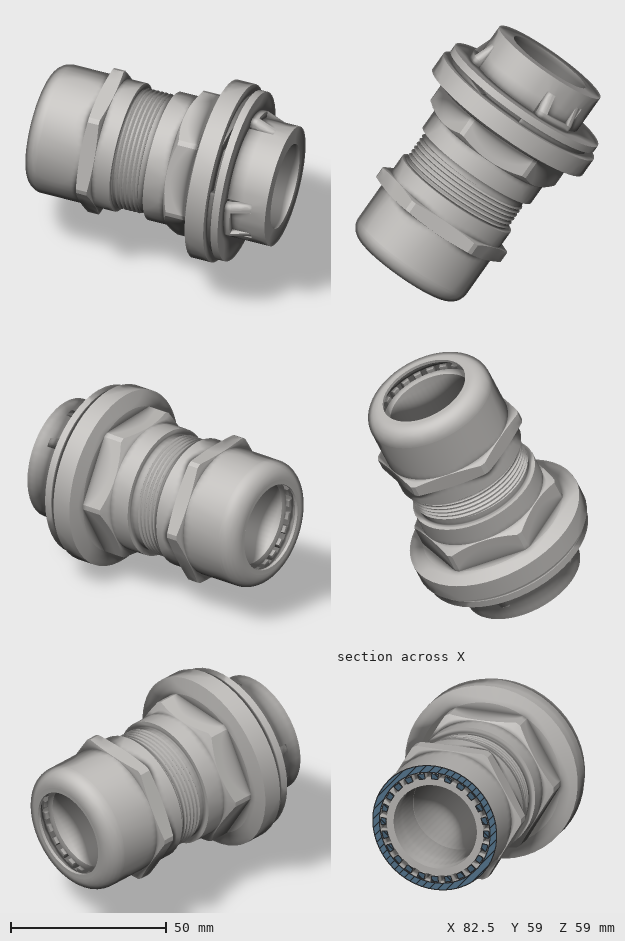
import cadquery as cq
import math


overall_length = 82.5
barrel_radius = 42.6 / 2
hex_across_flats = 43.0
hex_corner_radius = 48.7 / 2
thread_root_radius = 38.4 / 2
thread_crest_radius = 39.75 / 2
REACH = 2 * overall_length

cap_length = 30.1
cap_nose_round = 5.3
cap_mouth_radius = 28.8 / 2
cap_lip_length = 1.0
cap_hex_start = 19.1
cap_hex_end = 24.2
cap_hex_chamfer = 0.7
cap_bore_radius = thread_root_radius

cage_front = 4.95
cage_outer_radius = 38.2 / 2
cage_inner_radius = 33.15 / 2
cage_tip_radius = 36.1 / 2
finger_count = 24
finger_slot_width = 2.15
finger_slot_end = 16.5

seal_front = 6.1
seal_bore_radius = 28.45 / 2

body_front = cap_hex_end
body_bore_radius = 28.2 / 2
thread_end = 39.1
thread_pitch = 1.5
thread_ridge_width = 1.0
thread_ridge_sink = 0.1
thread_crest_bottom = 38.0
collar_start = 41.5
collar_round = 0.4
body_hex_start = 48.25
body_hex_chamfer = 2.1
flange_start = 57.0
flange_bevel = 1.65
flange_end = 65.0
flange_radius = 59.05 / 2
hub_end = 67.0
hub_radius = 44.4 / 2
tail_radius = thread_crest_radius

clip_count = 3
cam_radius = 52.1 / 2
cam_first_wall_angle = 30.0
cam_level_sweep = 62.0
cam_ramp_sweep = 23.0

ring_end = 69.4
ring_radius = 56.25 / 2
clip_top_radius = 44.2 / 2
clip_bridge_end = 71.35
clip_leg_end = 77.6
clip_half_width = 7.0
clip_window_half_width = 4.7
clip_edge_round = 1.8
clip_thickness = clip_top_radius - tail_radius
clip_leg_tip_radius = 19.8
channel_half_width = 7.7
channel_floor_radius = clip_leg_tip_radius - clip_thickness


def turned(profile):
    """Revolve a closed profile of X (axial) and Y (radial) around the X axis."""
    return profile.close().revolve(360, (0, 0, 0), (1, 0, 0))


def cylinder(start, end, radius):
    return cq.Workplane("YZ").workplane(offset=start).circle(radius).extrude(end - start)


def tube(start, end, outer_radius, inner_radius):
    return cylinder(start, end, outer_radius).cut(cylinder(start, end, inner_radius))


def box(x_range, y_range, z_range):
    size = [high - low for low, high in (x_range, y_range, z_range)]
    corner = (x_range[0], y_range[0], z_range[0])
    return cq.Workplane("XY").box(*size, centered=False).translate(corner)


def around_axis(shape, angle):
    return shape.rotate((0, 0, 0), (1, 0, 0), angle)


def hexagon(start, end, front_chamfer, rear_chamfer):
    """Hexagon with flats at +Z and -Z, its corners turned and its ends chamfered."""
    corner_diameter = hex_across_flats / math.cos(math.radians(30))
    prism = cq.Workplane("YZ").workplane(offset=start).polygon(6, corner_diameter).extrude(end - start)
    profile = cq.Workplane("XY").moveTo(start, 0).lineTo(start, barrel_radius)
    profile = profile.lineTo(start + front_chamfer, hex_corner_radius)
    profile = profile.lineTo(end - rear_chamfer, hex_corner_radius)
    if rear_chamfer > 0:
        profile = profile.lineTo(end, barrel_radius)
    return prism.intersect(turned(profile.lineTo(end, 0)))


def make_cap_nut():
    nose_radius = barrel_radius - cap_nose_round
    arc_offset = cap_nose_round * math.sqrt(0.5)
    cone_length = cap_bore_radius - cap_mouth_radius
    barrel = turned(
        cq.Workplane("XY")
        .moveTo(0, 0)
        .lineTo(0, nose_radius)
        .threePointArc(
            (cap_nose_round - arc_offset, nose_radius + arc_offset),
            (cap_nose_round, barrel_radius),
        )
        .lineTo(cap_length, barrel_radius)
        .lineTo(cap_length, 0)
    )
    cavity = turned(
        cq.Workplane("XY")
        .moveTo(0, 0)
        .lineTo(0, cap_mouth_radius)
        .lineTo(cap_lip_length, cap_mouth_radius)
        .lineTo(cap_lip_length + cone_length, cap_bore_radius)
        .lineTo(cap_length, cap_bore_radius)
        .lineTo(cap_length, 0)
    )
    grip = hexagon(cap_hex_start, cap_hex_end, cap_hex_chamfer, cap_hex_chamfer)
    return barrel.union(grip).cut(cavity)


def make_cage():
    """Sleeve whose front is slotted into clamping fingers with bevelled tips."""
    tip_bevel = cage_outer_radius - cage_tip_radius
    cage = turned(
        cq.Workplane("XY")
        .moveTo(cage_front, cage_inner_radius)
        .lineTo(cage_front, cage_tip_radius)
        .lineTo(cage_front + tip_bevel, cage_outer_radius)
        .lineTo(body_front, cage_outer_radius)
        .lineTo(body_front, cage_inner_radius)
    )
    half_slot = finger_slot_width / 2
    slot = box((cage_front, finger_slot_end), (0, REACH), (-half_slot, half_slot))
    pitch = 360 / finger_count
    for index in range(finger_count):
        cage = cage.cut(around_axis(slot, (index + 0.5) * pitch))
    return cage


def make_seal():
    return tube(seal_front, body_front, cage_inner_radius, seal_bore_radius)


def thread_ridge():
    """Right-handed V ridge between the cap nut and the plain neck."""
    turns_before = 7
    turns_after = 2
    helix_length = (turns_before + turns_after) * thread_pitch
    sunk_radius = thread_root_radius - thread_ridge_sink
    half_width = thread_ridge_width / 2
    path = cq.Wire.makeHelix(thread_pitch, helix_length, sunk_radius)
    ridge = (
        cq.Workplane("XZ")
        .moveTo(sunk_radius, -half_width)
        .lineTo(thread_crest_radius, 0)
        .lineTo(sunk_radius, half_width)
        .close()
        .sweep(cq.Workplane(path), isFrenet=True)
    )
    ridge = ridge.rotate((0, 0, 0), (0, 1, 0), 90)
    ridge = ridge.translate((thread_crest_bottom - turns_before * thread_pitch, 0, 0))
    return ridge.intersect(cylinder(cap_length, thread_end, barrel_radius))


def cam_lobe():
    """Sector on the rear of the flange: a radial wall, a level crest and a falling ramp."""
    crest_height = hub_end - flange_end

    def sector(start_angle, sweep):
        points = [start_angle, start_angle + sweep / 2, start_angle + sweep]
        on_rim = [
            (cam_radius * math.cos(math.radians(a)), cam_radius * math.sin(math.radians(a)))
            for a in points
        ]
        plane = cq.Workplane("YZ").workplane(offset=flange_end)
        return plane.lineTo(*on_rim[0]).threePointArc(*on_rim[1:]).close().extrude(crest_height)

    ramp_start = cam_first_wall_angle + cam_level_sweep
    crest = sector(cam_first_wall_angle, cam_level_sweep)
    ramp = sector(ramp_start, cam_ramp_sweep)
    ramp_run = cam_radius * math.sin(math.radians(cam_ramp_sweep))
    cutter = (
        cq.Workplane("XY")
        .moveTo(hub_end, 0)
        .lineTo(flange_end, -ramp_run)
        .lineTo(hub_end, -ramp_run)
        .close()
        .extrude(cam_radius)
    )
    cutter = around_axis(cutter, ramp_start - 90)
    return crest.union(ramp.cut(cutter))


def clip_angles():
    """Clip positions, measured from -Y."""
    return [index * 360 / clip_count for index in range(clip_count)]


def leg_channels():
    """Pair of channels, on the -Y side, that take the legs of one snap clip."""
    length = (ring_end, clip_leg_end)
    outward = (-REACH, 0)
    right = box(length, outward, (clip_window_half_width, channel_half_width))
    left = right.mirror("XY")
    return right.union(left).cut(cylinder(*length, channel_floor_radius))


def make_body():
    arc_offset = collar_round * (1 - math.sqrt(0.5))
    body = turned(
        cq.Workplane("XY")
        .moveTo(body_front, 0)
        .lineTo(body_front, thread_root_radius)
        .lineTo(collar_start - collar_round, thread_root_radius)
        .threePointArc(
            (collar_start - arc_offset, thread_root_radius + arc_offset),
            (collar_start, thread_root_radius + collar_round),
        )
        .lineTo(collar_start, barrel_radius)
        .lineTo(flange_start, barrel_radius)
        .lineTo(flange_start, hex_corner_radius)
        .lineTo(flange_start + flange_bevel, flange_radius)
        .lineTo(flange_end, flange_radius)
        .lineTo(flange_end, hub_radius)
        .lineTo(hub_end, hub_radius)
        .lineTo(hub_end, tail_radius)
        .lineTo(overall_length, tail_radius)
        .lineTo(overall_length, 0)
    )
    body = body.union(hexagon(body_hex_start, flange_start, body_hex_chamfer, 0))
    for angle in clip_angles():
        body = body.union(around_axis(cam_lobe(), angle))
        body = body.cut(around_axis(leg_channels(), angle))
    body = body.cut(cylinder(body_front, overall_length, body_bore_radius))
    return body.union(thread_ridge())


def snap_clip():
    """U-shaped clip on the -Y side: a bridge and two legs that slope into the channels."""
    shell = turned(
        cq.Workplane("XY")
        .moveTo(ring_end, tail_radius)
        .lineTo(ring_end, clip_top_radius)
        .lineTo(clip_bridge_end, clip_top_radius)
        .lineTo(clip_leg_end, clip_leg_tip_radius)
        .lineTo(clip_leg_end, channel_floor_radius)
        .lineTo(clip_bridge_end, tail_radius)
    )
    length = (ring_end, clip_leg_end)
    clip = shell.intersect(box(length, (-REACH, 0), (-clip_half_width, clip_half_width)))
    window = box(
        (clip_bridge_end, clip_leg_end),
        (-REACH, 0),
        (-clip_window_half_width, clip_window_half_width),
    )
    side_foot = math.sqrt(tail_radius**2 - clip_half_width**2)
    outer_edges = cq.selectors.BoxSelector(
        (ring_end + clip_thickness / 4, -clip_top_radius, -clip_top_radius),
        (clip_leg_end, -side_foot - clip_thickness / 4, clip_top_radius),
    )
    for side in ("<Z", ">Z"):
        clip = clip.faces(side).edges(outer_edges).fillet(clip_edge_round)
    return clip.cut(window)


def make_snap_ring():
    """Washer-like ring that carries the snap clips."""
    ring = tube(hub_end, ring_end, ring_radius, tail_radius)
    for angle in clip_angles():
        ring = ring.union(around_axis(snap_clip(), angle))
    return ring


cap_nut = make_cap_nut()
cage = make_cage()
seal = make_seal()
body = make_body()
snap_ring = make_snap_ring()

result = cq.Compound.makeCompound(
    [cap_nut.val(), cage.val(), seal.val(), body.val(), snap_ring.val()]
)